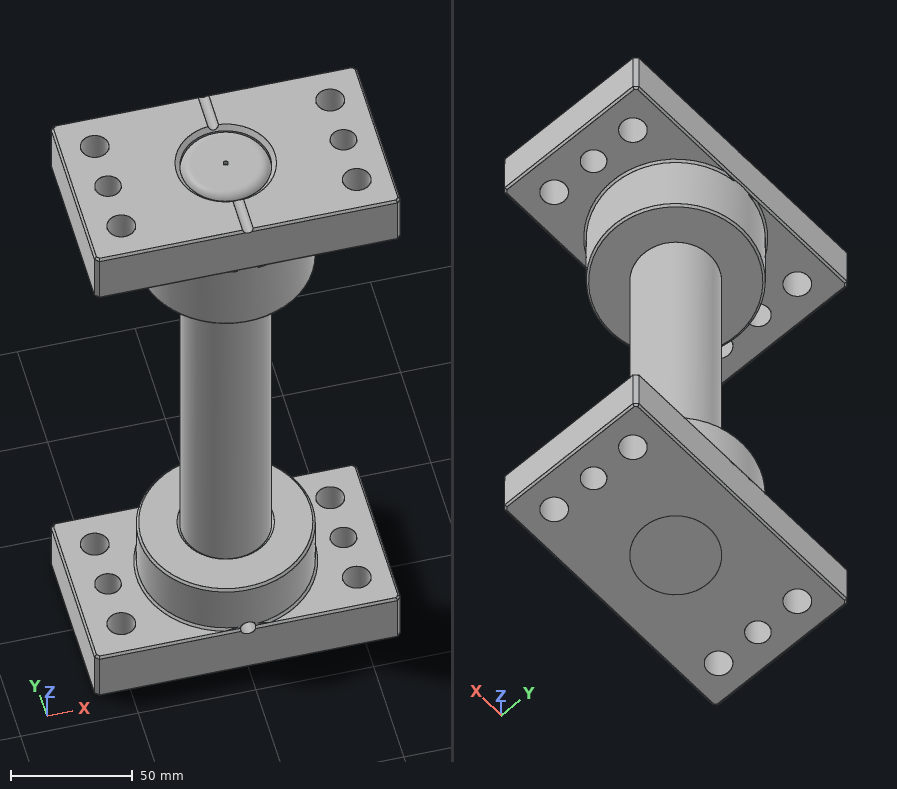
import cadquery as cq

TOTAL_HEIGHT = 280.2

FLANGE_LENGTH = 130.0
FLANGE_WIDTH = 75.0
FLANGE_THICKNESS = 25.0
CORNER_CHAMFER = 1.7
RIM_CHAMFER = 0.95

HOLE_SPACING_X = 100.0
BOLT_SPACING_Y = 44.0
BOLT_DIAMETER = 11.8
DOWEL_DIAMETER = 11.0

COLLAR_DIAMETER = 73.7
COLLAR_CHAMFER = 1.0
FOOT_FLARE = 1.0
LOWER_COLLAR_HEIGHT = 25.0
UPPER_COLLAR_HEIGHT = 35.0

PILLAR_DIAMETER = 37.8
PILLAR_ROUND = 4.5
CENTRE_DIAMETER = 2.0
CENTRE_DEPTH = 2.0
LOWER_MOUTH_CHAMFER = 1.0
UPPER_MOUTH_CHAMFER = 2.0

GROOVE_RADIUS = 2.5
GROOVE_DEPTH = 1.5

CROSS_HOLE_DIAMETER = 6.5
CROSS_HOLE_DEPTH = 7.0


def flange():
    """Chamfered rectangular plate with its outer face on Z = 0."""
    plate = cq.Workplane("XY").box(
        FLANGE_LENGTH, FLANGE_WIDTH, FLANGE_THICKNESS, centered=(True, True, False)
    )
    plate = plate.edges("|Z").chamfer(CORNER_CHAMFER)
    return plate.faces("<Z or >Z").chamfer(RIM_CHAMFER)


def turned(*profile):
    """Solid of revolution about Z from a closed profile of (radius, z) points."""
    return cq.Workplane("XZ").polyline(profile).close().revolve(360, (0, 0, 0), (0, 1, 0))


def collar(height):
    """Collar with a chamfered free end, rooted just below the inner flange face."""
    radius = COLLAR_DIAMETER / 2
    root = FLANGE_THICKNESS - RIM_CHAMFER
    end = FLANGE_THICKNESS + height
    return turned(
        (0, root),
        (radius, root),
        (radius, end - COLLAR_CHAMFER),
        (radius - COLLAR_CHAMFER, end),
        (0, end),
    )


def collar_foot():
    """Conical flare where the collar meets the flange, kept on the flat inside the rim chamfer."""
    radius = COLLAR_DIAMETER / 2
    cone = turned(
        (0, FLANGE_THICKNESS),
        (radius + FOOT_FLARE, FLANGE_THICKNESS),
        (radius, FLANGE_THICKNESS + FOOT_FLARE),
        (0, FLANGE_THICKNESS + FOOT_FLARE),
    )
    flat_length = FLANGE_LENGTH - 2 * RIM_CHAMFER
    flat_width = FLANGE_WIDTH - 2 * RIM_CHAMFER
    flat = cq.Workplane("XY", origin=(0, 0, FLANGE_THICKNESS)).rect(flat_length, flat_width)
    return cone.intersect(flat.extrude(FOOT_FLARE))


def flange_holes():
    """Cutters for the two rows of flange holes."""
    cutters = cq.Workplane("XY")
    for x in (-HOLE_SPACING_X / 2, HOLE_SPACING_X / 2):
        for y, diameter in (
            (-BOLT_SPACING_Y / 2, BOLT_DIAMETER),
            (0, DOWEL_DIAMETER),
            (BOLT_SPACING_Y / 2, BOLT_DIAMETER),
        ):
            hole = cq.Workplane("XY").center(x, y).circle(diameter / 2)
            cutters = cutters.add(hole.extrude(FLANGE_THICKNESS))
    return cutters.combine()


def mouth_chamfer(z, chamfer):
    """Conical cutter that widens the bore upward to a mouth at height z."""
    radius = PILLAR_DIAMETER / 2
    return turned(
        (0, z),
        (radius + chamfer, z),
        (radius, z - chamfer),
        (0, z - chamfer),
    )


def bush(collar_height):
    """Flange and collar with the pillar bore and flange holes, flange down on Z = 0."""
    end = FLANGE_THICKNESS + collar_height
    bore = cq.Workplane("XY").circle(PILLAR_DIAMETER / 2).extrude(end)
    body = flange().union(collar(collar_height)).union(collar_foot())
    return body.cut(bore).cut(flange_holes())


def lower_bush():
    """Base bush: flange at the bottom, collar upward, with a cross hole in its front face."""
    body = bush(LOWER_COLLAR_HEIGHT)
    body = body.cut(
        mouth_chamfer(FLANGE_THICKNESS + LOWER_COLLAR_HEIGHT, LOWER_MOUTH_CHAMFER)
    )
    cross_hole = (
        cq.Workplane("XZ", origin=(0, -FLANGE_WIDTH / 2, FLANGE_THICKNESS))
        .circle(CROSS_HOLE_DIAMETER / 2)
        .extrude(-CROSS_HOLE_DEPTH)
    )
    return body.cut(cross_hole)


def upper_bush():
    """Top bush: flange at the top, collar downward, with an oil groove in its outer face."""
    body = bush(UPPER_COLLAR_HEIGHT).mirror("XY").translate((0, 0, TOTAL_HEIGHT))
    body = body.cut(mouth_chamfer(TOTAL_HEIGHT, UPPER_MOUTH_CHAMFER))
    groove_centre = TOTAL_HEIGHT - GROOVE_DEPTH + GROOVE_RADIUS
    groove = (
        cq.Workplane("XZ", origin=(0, 0, groove_centre))
        .circle(GROOVE_RADIUS)
        .extrude(FLANGE_WIDTH / 2, both=True)
    )
    return body.cut(groove)


def guide_pillar():
    """Plain pillar from the base to the upper face, with a rounded top and a centre mark."""
    body = cq.Workplane("XY").circle(PILLAR_DIAMETER / 2).extrude(TOTAL_HEIGHT)
    body = body.faces(">Z").edges().fillet(PILLAR_ROUND)
    return body.faces(">Z").workplane().hole(CENTRE_DIAMETER, CENTRE_DEPTH)


base_bush = lower_bush()
top_bush = upper_bush()
pillar = guide_pillar()

result = cq.Compound.makeCompound([base_bush.val(), top_bush.val(), pillar.val()])